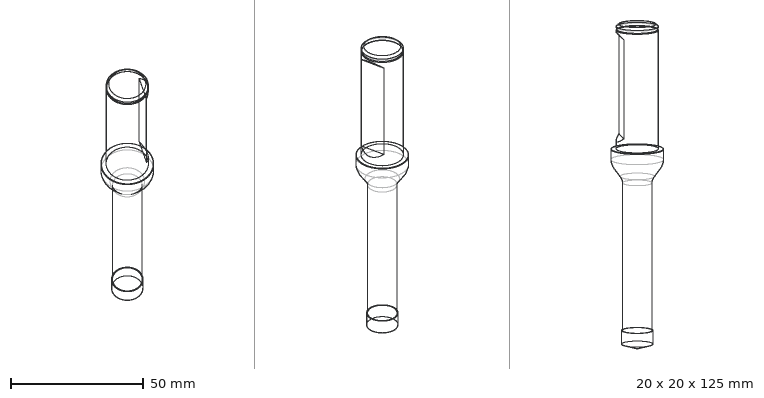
import cadquery as cq
import math

total_length = 125.0

head_radius = 11.9 / 2
point_angle = 145.0
head_cylinder_length = 5.25
point_height = head_radius / math.tan(math.radians(point_angle / 2))
head_top = point_height + head_cylinder_length

neck_radius = 11.2 / 2
collar_radius = 20.0 / 2
collar_height = 4.15
collar_chamfer = 0.2
shoulder_height = 8.95
taper_half_angle = 41.0
neck_fillet_radius = 3.8

shank_radius = 15.99 / 2
shank_length = 48.0
end_chamfer_width = 1.0
end_chamfer_height = 0.9

groove_depth = 0.25
groove_width = 1.2
groove_cone_length = 0.85
groove_offset = 1.2

flat_depth = 1.9
flat_bottom_offset = 3.1
flat_top_offset = 3.0

collar_top = total_length - shank_length
collar_bottom = collar_top - collar_height
shoulder_bottom = collar_bottom - shoulder_height


def make_cutting_head():
    """Short cylinder ending in a conical drill point."""
    return (
        cq.Workplane("XZ")
        .moveTo(0, 0)
        .lineTo(head_radius, point_height)
        .lineTo(head_radius, head_top)
        .lineTo(0, head_top)
        .close()
        .revolve(360, (0, 0, 0), (0, 1, 0))
    )


def make_holder_blank():
    """Revolved neck, curved shoulder, collar and chamfered shank."""
    taper_angle = math.radians(taper_half_angle)
    neck_arc_end = (
        neck_radius + neck_fillet_radius * (1 - math.cos(taper_angle)),
        shoulder_bottom + neck_fillet_radius * math.sin(taper_angle),
    )
    neck_arc_middle = (
        neck_radius + neck_fillet_radius * (1 - math.cos(taper_angle / 2)),
        shoulder_bottom + neck_fillet_radius * math.sin(taper_angle / 2),
    )

    tangent_rise = (collar_radius - neck_arc_end[0]) / math.tan(taper_angle)
    shoulder_control = (collar_radius, neck_arc_end[1] + tangent_rise)

    return (
        cq.Workplane("XZ")
        .moveTo(0, head_top)
        .lineTo(neck_radius, head_top)
        .lineTo(neck_radius, shoulder_bottom)
        .threePointArc(neck_arc_middle, neck_arc_end)
        .bezier([neck_arc_end, shoulder_control, (collar_radius, collar_bottom)])
        .lineTo(collar_radius, collar_top - collar_chamfer)
        .lineTo(collar_radius - collar_chamfer, collar_top)
        .lineTo(shank_radius, collar_top)
        .lineTo(shank_radius, total_length - end_chamfer_height)
        .lineTo(shank_radius - end_chamfer_width, total_length)
        .lineTo(0, total_length)
        .close()
        .revolve(360, (0, 0, 0), (0, 1, 0))
    )


def make_shank_groove():
    """Ring of triangular section: a shallow cone inwards and a steep return to the shank wall."""
    groove_top = total_length - groove_offset
    return (
        cq.Workplane("XZ")
        .moveTo(shank_radius, groove_top)
        .lineTo(shank_radius - groove_depth, groove_top - groove_cone_length)
        .lineTo(shank_radius, groove_top - groove_width)
        .close()
        .revolve(360, (0, 0, 0), (0, 1, 0))
    )


def make_clamping_flat():
    """Trapezoidal prism along X that cuts the flat and its two run-outs."""
    lower = collar_top + flat_bottom_offset
    upper = total_length - flat_top_offset
    return (
        cq.Workplane("YZ")
        .moveTo(shank_radius, lower)
        .lineTo(shank_radius - flat_depth, lower + flat_depth)
        .lineTo(shank_radius - flat_depth, upper - flat_depth)
        .lineTo(shank_radius, upper)
        .close()
        .extrude(shank_radius, both=True)
    )


cutting_head = make_cutting_head()
holder = make_holder_blank().cut(make_shank_groove()).cut(make_clamping_flat())

result = cq.Compound.makeCompound([holder.val(), cutting_head.val()])